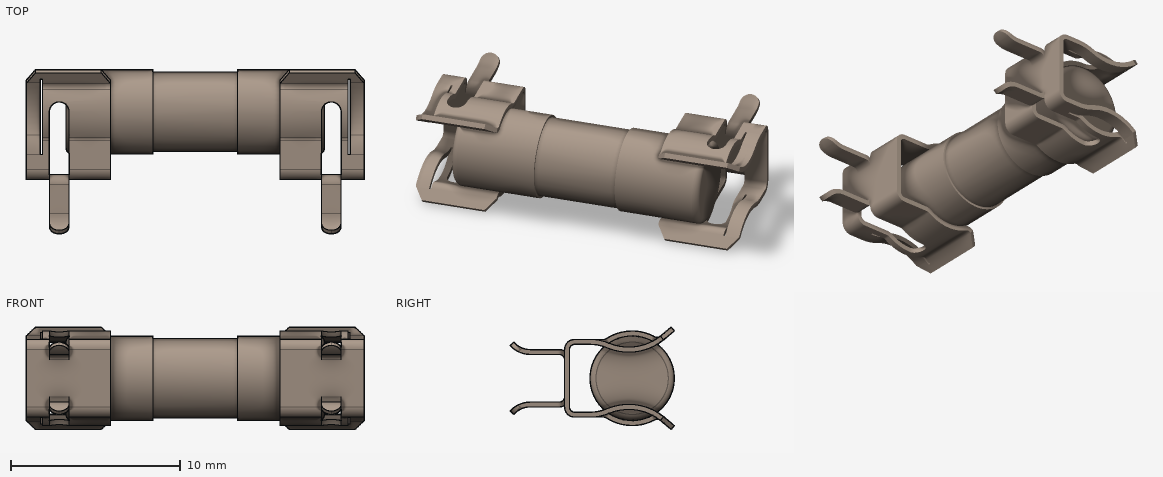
import cadquery as cq
import math


overall_length = 20.0
overall_height = 6.05

fuse_length = 15.28
tube_length = 5.0
tube_radius = 2.35
cap_radius = 2.5
cap_edge_radius = 0.35
cap_length = (fuse_length - tube_length) / 2

clip_width = 5.0
thickness = 0.3
inner_bend = thickness
outer_bend = inner_bend + thickness
clip_end_x = -overall_length / 2
wall_y = -4.0
arm_z = 2.3
grip_radius = cap_radius + thickness

lip_angle = 40.0
lip_end_y = cap_radius
lip_end_z = overall_height / 2
lip_corner_width = 0.55

strip_width = 0.85
slit_width = 0.12
slit_front_y = 1.92
strip_low_z = 1.85
strip_bow_radius = 3.0

tab_width = 1.15
tab_center_x = clip_end_x + 1.95
tab_z = 1.7
tab_root_z = tab_z - outer_bend
tab_bend_start_y = -6.02
tab_bend_radius = 1.3
tab_bend_angle = 48.5

cut_height = 2 * lip_end_z


def polar(center, radius, angle):
    """YZ point at a radius and an angle (degrees from +Y) around a centre."""
    turn = math.radians(angle)
    return (center[0] + radius * math.cos(turn), center[1] + radius * math.sin(turn))


def heading(start, end):
    """Angle in degrees, from +Y, of the YZ line from start to end."""
    return math.degrees(math.atan2(end[1] - start[1], end[0] - start[0]))


def arc_middle(start, end, center):
    """Middle of the short arc from start to end around a centre."""
    chord_middle = ((start[0] + end[0]) / 2, (start[1] + end[1]) / 2)
    return polar(center, math.dist(center, start), heading(center, chord_middle))


def bent_sheet(stations, width, start_x):
    """Sheet of constant thickness whose outer face runs through the stations.

    A station is (point, angle of the outward normal, centre of the arc that leads to the point).
    The centre is None where a straight stretch leads to the point.
    """
    outer = [point for point, _, _ in stations]
    inner = [polar(point, -thickness, normal) for point, normal, _ in stations]
    centers = [center for _, _, center in stations]

    def run(path, points, arc_centers):
        for start, end, center in zip(points, points[1:], arc_centers):
            if center is None:
                path = path.lineTo(*end)
            else:
                path = path.threePointArc(arc_middle(start, end, center), end)
        return path

    path = cq.Workplane("YZ", origin=(start_x, 0, 0)).moveTo(*outer[0])
    path = run(path, outer, centers[1:]).lineTo(*inner[-1])
    path = run(path, inner[::-1], centers[:0:-1])
    return path.close().extrude(width)


axis = (0.0, 0.0)
lip_normal = lip_angle + 90
lip_tip = (lip_end_y - thickness * math.sin(math.radians(lip_angle)), lip_end_z)
lip_offset = (lip_tip[1] * math.cos(math.radians(lip_angle))
              - lip_tip[0] * math.sin(math.radians(lip_angle)))

corner_center = (wall_y + outer_bend, arm_z - outer_bend)
corner_start = (wall_y, corner_center[1])
corner_end = (corner_center[0], arm_z)

hollow_distance = grip_radius + inner_bend
flat_bend_z = arm_z + inner_bend
flat_bend_center = (-math.sqrt(hollow_distance**2 - flat_bend_z**2), flat_bend_z)
lip_bend_offset = lip_offset + inner_bend
lip_bend_angle = lip_angle + math.degrees(math.asin(lip_bend_offset / hollow_distance))
lip_bend_center = polar(axis, hollow_distance, lip_bend_angle)

bow_center_z = strip_low_z + strip_bow_radius
bow_center = (
    (bow_center_z * math.cos(math.radians(lip_angle)) - lip_offset - strip_bow_radius)
    / math.sin(math.radians(lip_angle)),
    bow_center_z,
)
back_bend_z = arm_z - strip_bow_radius
back_bend_run = math.sqrt((2 * strip_bow_radius)**2 - (bow_center_z - back_bend_z)**2)
back_bend_center = (bow_center[0] - back_bend_run, back_bend_z)
slit_back_y = back_bend_center[0]
back_bend_normal = heading(back_bend_center, bow_center)

wall_stations = [
    ((wall_y, 0.0), 180, None),
    (corner_start, 180, None),
    (corner_end, 90, corner_center),
]


def gripping_arm():
    """Half of the wall and an arm that wraps the cap and ends in the lip, slotted for the tab."""
    flat_bend_normal = heading(axis, flat_bend_center)
    stations = wall_stations + [
        ((flat_bend_center[0], arm_z), 90, None),
        (polar(axis, grip_radius, flat_bend_normal), flat_bend_normal, flat_bend_center),
        (polar(axis, grip_radius, lip_bend_angle), lip_bend_angle, axis),
        (polar(lip_bend_center, -inner_bend, lip_normal), lip_normal, lip_bend_center),
        (lip_tip, lip_normal, None),
    ]
    arm = bent_sheet(stations, clip_width, clip_end_x)

    slit_length = slit_front_y - slit_back_y
    strip_space = cq.Workplane("XY").box(
        strip_width + slit_width, slit_length, cut_height, centered=False
    ).translate((clip_end_x, slit_back_y, 0))

    slot_side = cq.Workplane("XY").box(
        tab_width, 2 * abs(wall_y), cut_height, centered=(True, True, False)
    ).translate((tab_center_x, wall_y, tab_root_z))
    slot_end = cq.Workplane("XY").center(tab_center_x, 0).circle(tab_width / 2).extrude(cut_height)
    return arm.cut(strip_space).cut(slot_side).cut(slot_end)


def stop_strip():
    """Narrow strip at the end of the clip that bows inward and stops the fuse endwise."""
    stations = wall_stations + [
        ((back_bend_center[0], arm_z), 90, None),
        (polar(back_bend_center, strip_bow_radius, back_bend_normal), back_bend_normal,
         back_bend_center),
        (polar(bow_center, -strip_bow_radius, lip_normal), lip_normal, bow_center),
        (lip_tip, lip_normal, None),
    ]
    return bent_sheet(stations, strip_width, clip_end_x)


def lip_corner_cuts():
    """Triangular prisms that take the two corners off the lip, square to its sheet."""
    lip_start = polar(lip_bend_center, -inner_bend, lip_normal)
    lip_length = math.dist(lip_start, lip_tip)
    normal = polar(axis, 1, lip_normal)
    lip_plane = cq.Plane(origin=(clip_end_x, *lip_tip), xDir=(1, 0, 0), normal=(0, *normal))
    near_corner = [(0, 0), (lip_corner_width, 0), (0, -lip_length)]
    far_corner = [(clip_width - x, y) for x, y in near_corner]
    cuts = cq.Workplane(lip_plane).polyline(near_corner).close()
    cuts = cuts.polyline(far_corner).close()
    return cuts.extrude(2 * thickness, both=True)


def solder_tab():
    """Tab bent out of the wall, curved outward at its round end."""
    root_center = (wall_y - inner_bend, tab_root_z)
    curl_center = (tab_bend_start_y, tab_z + tab_bend_radius)
    tip_normal = 90 - tab_bend_angle
    tip = polar(curl_center, -tab_bend_radius, tip_normal)
    stations = [
        ((wall_y + thickness, 0.0), 0, None),
        ((wall_y + thickness, tab_root_z), 0, None),
        ((root_center[0], tab_z), 90, root_center),
        ((tab_bend_start_y, tab_z), 90, None),
        (tip, tip_normal, curl_center),
    ]
    tab = bent_sheet(stations, tab_width, tab_center_x - tab_width / 2)

    round_radius = tab_width / 2
    normal = polar(axis, 1, tip_normal)
    tip_plane = cq.Plane(origin=(tab_center_x, *tip), xDir=(1, 0, 0), normal=(0, *normal))
    end_block = cq.Workplane(tip_plane).rect(tab_width, 2 * round_radius)
    end_block = end_block.extrude(2 * thickness, both=True)
    round_end = cq.Workplane(tip_plane).center(0, round_radius).circle(round_radius)
    round_end = round_end.extrude(2 * thickness, both=True)
    return tab.cut(end_block.cut(round_end))


def clip():
    """Complete clip at the -X end of the fuse."""
    sprung_arm = gripping_arm().union(stop_strip()).cut(lip_corner_cuts())
    half = sprung_arm.union(solder_tab())
    return half.union(half.mirror("XY")).clean()


def end_cap():
    """Cap at the -X end of the fuse, rounded at its outer edge."""
    cap = cq.Workplane("YZ", origin=(-fuse_length / 2, 0, 0)).circle(cap_radius).extrude(cap_length)
    return cap.faces("<X").edges().fillet(cap_edge_radius)


def fuse_tube():
    """Tube between the inner faces of the two caps."""
    return cq.Workplane("YZ", origin=(-tube_length / 2, 0, 0)).circle(tube_radius).extrude(tube_length)


tube = fuse_tube().solids().val()
left_cap = end_cap()
left_clip = clip()
caps = [cap.solids().val() for cap in (left_cap, left_cap.mirror("YZ"))]
clips = [sheet.solids().val() for sheet in (left_clip, left_clip.mirror("YZ"))]

result = cq.Compound.makeCompound([tube, *caps, *clips])